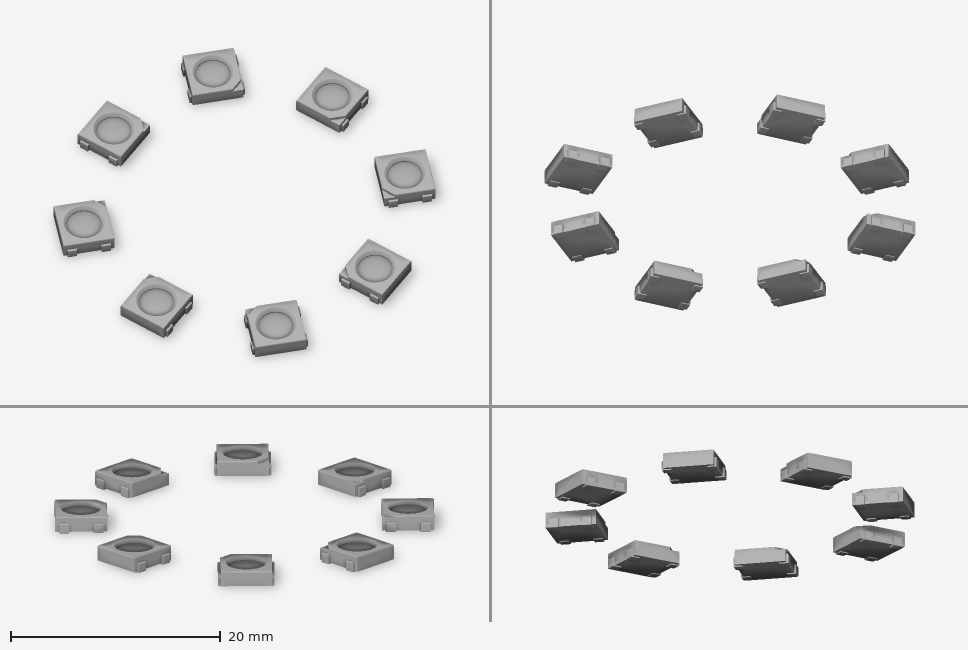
import cadquery as cq
import math

package_count = 8
ring_size = 35.0
overall_height = 1.6

housing_side = 4.97
top_chamfer_height = 0.1
top_chamfer_inset = 0.05
standoff = 0.1
housing_height = overall_height - standoff

cup_top_diameter = 3.9
cup_floor_diameter = 3.32
cone_depth = 0.3
cup_floor_step = 0.1

notch_leg = 1.1
notch_depth = 0.3

lead_width = 0.9
lead_pitch = 3.3
lead_thickness = 0.2
lead_height = 0.95
lead_bend_radius = 0.07
lead_foot_length = 0.9

axis_radius = (ring_size - housing_side) / 2
diagonal_offset = 11.02
diagonal_radius = math.hypot(diagonal_offset, diagonal_offset)


def make_housing():
    """Square block standing clear of the mounting plane."""
    return (
        cq.Workplane("XY")
        .workplane(offset=standoff)
        .rect(housing_side, housing_side)
        .extrude(housing_height)
        .faces(">Z")
        .chamfer(top_chamfer_height, top_chamfer_inset)
    )


def make_cup():
    """Reflector cup that is removed: a cone above a shallow straight-walled floor recess."""
    floor_z = overall_height - cone_depth - cup_floor_step
    return (
        cq.Workplane("XZ")
        .moveTo(0, floor_z)
        .lineTo(cup_floor_diameter / 2, floor_z)
        .lineTo(cup_floor_diameter / 2, floor_z + cup_floor_step)
        .lineTo(cup_top_diameter / 2, overall_height)
        .lineTo(0, overall_height)
        .close()
        .revolve(360, (0, 0, 0), (0, 1, 0))
    )


def make_notch():
    """Triangular prism that is removed from the corner at -X, -Y."""
    corner = -housing_side / 2
    return (
        cq.Workplane("XY")
        .workplane(offset=overall_height - notch_depth)
        .moveTo(corner, corner)
        .lineTo(corner + notch_leg, corner)
        .lineTo(corner, corner + notch_leg)
        .close()
        .extrude(notch_depth)
    )


def make_lead(x_center, side):
    """Lead on the +Y (side = 1) or -Y (side = -1) wall, with its foot under the housing."""
    wall = side * housing_side / 2
    outer = wall + side * lead_thickness
    foot_end = outer - side * lead_foot_length
    lead = (
        cq.Workplane("YZ")
        .workplane(offset=x_center - lead_width / 2)
        .moveTo(foot_end, 0)
        .lineTo(outer, 0)
        .lineTo(outer, lead_height)
        .lineTo(wall, lead_height)
        .lineTo(wall, standoff)
        .lineTo(foot_end, standoff)
        .close()
        .extrude(lead_width)
    )
    outer_face = ">Y" if side > 0 else "<Y"
    return lead.faces(outer_face).edges("|X").fillet(lead_bend_radius)


def make_package():
    """One LED package as a single solid, centred on the Z axis."""
    package = make_housing().cut(make_cup()).cut(make_notch())
    for x_center in (-lead_pitch / 2, lead_pitch / 2):
        for side in (-1, 1):
            package = package.union(make_lead(x_center, side))
    return package


packages = []
for index in range(package_count):
    angle = index * 360 / package_count
    radius = axis_radius if index % 2 == 0 else diagonal_radius
    package = make_package().translate((radius, 0, 0)).rotate((0, 0, 0), (0, 0, 1), angle)
    packages.append(package.val())

result = cq.Compound.makeCompound(packages)